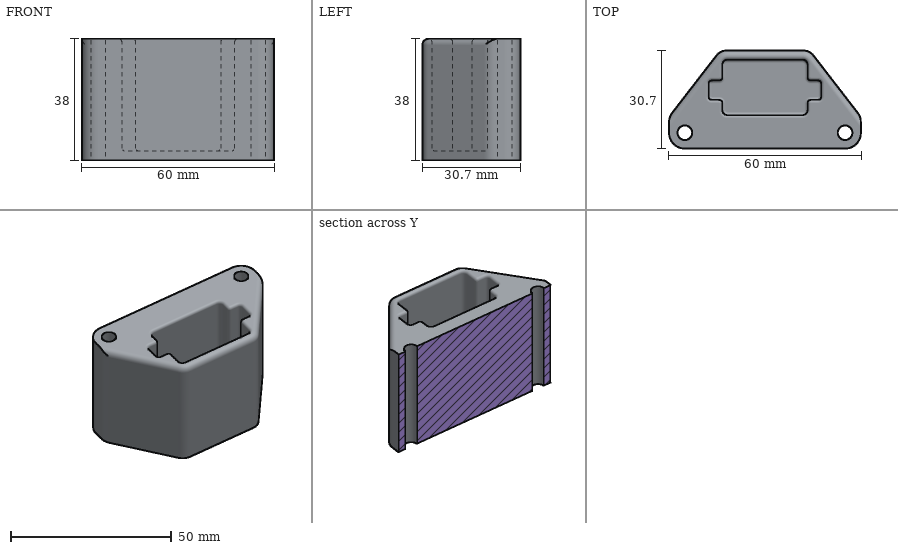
import cadquery as cq

width = 60.0
depth = 30.7
height = 38.0
back_half_width = 13.9
side_depth = 9.9
front_radius = 5.0
back_radius = 4.2
top_fillet = 2.0

hole_diameter = 4.5

rim_fillet = 0.95
floor_fillet = 0.95
floor_thickness = 3.0
cavity_width = 26.6
cavity_front = 10.5
cavity_back = depth - top_fillet - rim_fillet
cavity_corner = 1.5
slot_width = 35.2
slot_front = 15.25
slot_back = 21.3
slot_corner = 1.0

margin = 0.6


def sharp_prism():
    """Trapezoidal prism with the front face on Y = 0."""
    half = width / 2
    outline = [
        (-half, 0),
        (half, 0),
        (half, side_depth),
        (back_half_width, depth),
        (-back_half_width, depth),
        (-half, side_depth),
    ]
    return cq.Workplane("XY").polyline(outline).close().extrude(height)


def housing():
    """Prism whose top fillet runs straight out through the rounded side corners."""
    back_rounded = sharp_prism().edges("|Z and >Y").fillet(back_radius)
    sloped_and_back = cq.selectors.BoxSelector(
        (-width, side_depth + front_radius / 2, height - margin),
        (width, depth + margin, height + margin),
    )
    topped = back_rounded.faces(">Z").edges(sloped_and_back).fillet(top_fillet)
    side_rounded = sharp_prism().edges("|Z and (not >Y)").fillet(front_radius)
    return topped.intersect(side_rounded)


def block(x_size, y_front, y_back):
    """Block centred on X, reaching from the cavity floor to the top."""
    return (
        cq.Workplane("XY", origin=(0, (y_front + y_back) / 2, floor_thickness))
        .rect(x_size, y_back - y_front)
        .extrude(height - floor_thickness)
    )


def cavity():
    """Cross-shaped pocket with a flared rim and a rounded floor edge."""
    main = block(cavity_width, cavity_front, cavity_back)
    slot = block(slot_width, slot_front, slot_back)
    pocket = main.union(slot)
    pocket = pocket.edges("|Z and (<Y or >Y)").fillet(cavity_corner)
    slot_zone = cq.selectors.BoxSelector(
        (-width, slot_front - margin, 0),
        (width, slot_back + margin, height),
    )
    pocket = pocket.edges("|Z").edges(slot_zone).fillet(slot_corner)
    pocket = pocket.faces("<Z").edges().fillet(floor_fillet)

    plain = cq.Workplane("XY").box(2 * width, 2 * width, height, centered=(True, True, False))
    mold = plain.cut(pocket)
    rim_zone = cq.selectors.BoxSelector(
        (-width / 2, 0, height - margin),
        (width / 2, depth, height + margin),
    )
    mold = mold.faces(">Z").edges(rim_zone).fillet(rim_fillet)
    return plain.cut(mold)


def mounting_holes():
    hole_x = width / 2 - front_radius
    return (
        cq.Workplane("XY")
        .pushPoints([(-hole_x, front_radius), (hole_x, front_radius)])
        .circle(hole_diameter / 2)
        .extrude(height)
    )


result = housing().cut(cavity()).cut(mounting_holes())